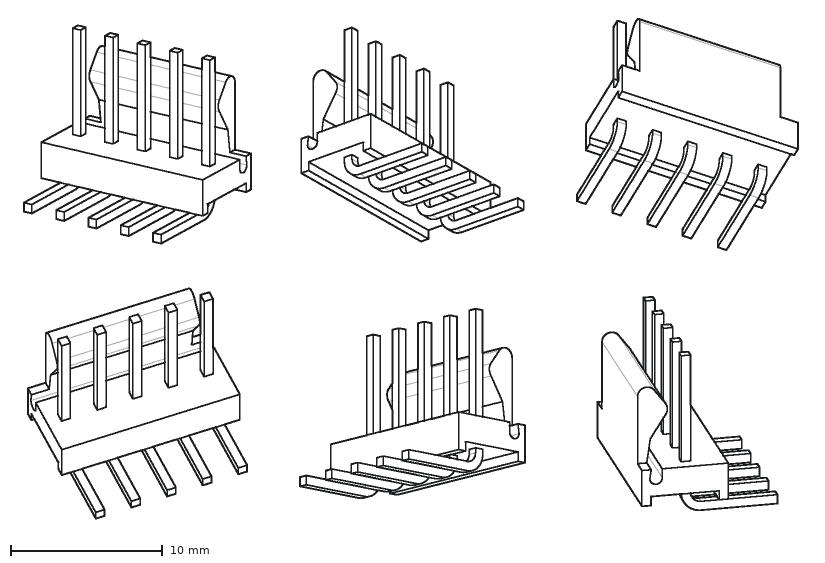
import cadquery as cq
import math

housing_length = 12.7
housing_depth = 5.84
housing_height = 2.54
foot_height = 0.64
foot_depth = 0.62

slot_radius = 0.42
slot_center_depth = 0.95
slot_center_z = 1.9

latch_length = 10.16
latch_top = 7.9
crown_radius = 0.62
knee_depth = 0.86
knee_z = 4.22
nose_depth = 2.02
nose_z = 6.24
nose_half_height = 0.42
nose_setback = 0.14

pin_count = 5
pin_pitch = 2.54
pin_size = 0.64
pin_top = 10.03
pin_bottom = -1.02
pin_back_depth = 2.88
pin_reach = 9.4
bend_inner_radius = 0.7


def extrude_profile(profile, length):
    """Extrude a side profile symmetrically along X."""
    return profile.close().extrude(length / 2, both=True)


def side_profile(depth, z):
    """Start a profile in the YZ plane, with depth running toward -Y."""
    return cq.Workplane("YZ").moveTo(-depth, z)


def make_housing():
    slot_back = slot_center_depth - slot_radius
    slot_front = slot_center_depth + slot_radius
    lean = (housing_height - slot_center_z) / (knee_z - slot_center_z)
    slot_mouth_back = slot_back + lean * (knee_depth - slot_back)
    profile = (
        side_profile(0, 0)
        .lineTo(0, housing_height)
        .lineTo(-slot_mouth_back, housing_height)
        .lineTo(-slot_back, slot_center_z)
        .threePointArc((-slot_center_depth, slot_center_z - slot_radius), (-slot_front, slot_center_z))
        .lineTo(-slot_front, housing_height)
        .lineTo(-housing_depth, housing_height)
        .lineTo(-housing_depth, 0)
        .lineTo(foot_depth - housing_depth, 0)
        .lineTo(foot_depth - housing_depth, foot_height)
        .lineTo(-foot_depth, foot_height)
        .lineTo(-foot_depth, 0)
    )
    return extrude_profile(profile, housing_length)


def make_latch():
    slot_back = slot_center_depth - slot_radius
    crown_z = latch_top - crown_radius
    nose_edge_depth = nose_depth - nose_setback
    nose_upper_z = nose_z + nose_half_height

    run = nose_edge_depth - crown_radius
    rise = nose_upper_z - crown_z
    tangent_angle = math.atan2(rise, run) + math.acos(crown_radius / math.hypot(run, rise))
    tangent_depth = crown_radius + crown_radius * math.cos(tangent_angle)
    tangent_z = crown_z + crown_radius * math.sin(tangent_angle)

    profile = (
        side_profile(0, slot_center_z)
        .lineTo(0, crown_z)
        .threePointArc((-crown_radius, latch_top), (-tangent_depth, tangent_z))
        .lineTo(-nose_edge_depth, nose_upper_z)
        .threePointArc((-nose_depth, nose_z), (-nose_edge_depth, nose_z - nose_half_height))
        .lineTo(-knee_depth, knee_z)
        .lineTo(-slot_back, slot_center_z)
    )
    return extrude_profile(profile, latch_length)


def make_pin(x):
    bend_outer_radius = bend_inner_radius + pin_size
    bend_depth = pin_back_depth + bend_outer_radius
    bend_z = pin_bottom + bend_outer_radius
    pin_front_depth = pin_back_depth + pin_size
    diagonal = math.sqrt(0.5)
    outer_middle = (-bend_depth + bend_outer_radius * diagonal, bend_z - bend_outer_radius * diagonal)
    inner_middle = (-bend_depth + bend_inner_radius * diagonal, bend_z - bend_inner_radius * diagonal)
    profile = (
        side_profile(pin_back_depth, pin_top)
        .lineTo(-pin_back_depth, bend_z)
        .threePointArc(outer_middle, (-bend_depth, pin_bottom))
        .lineTo(-pin_reach, pin_bottom)
        .lineTo(-pin_reach, pin_bottom + pin_size)
        .lineTo(-bend_depth, pin_bottom + pin_size)
        .threePointArc(inner_middle, (-pin_front_depth, bend_z))
        .lineTo(-pin_front_depth, pin_top)
    )
    return extrude_profile(profile, pin_size).translate((x, 0, 0))


result = make_housing().union(make_latch())
for index in range(pin_count):
    pin_x = (index - (pin_count - 1) / 2) * pin_pitch
    result = result.union(make_pin(pin_x))